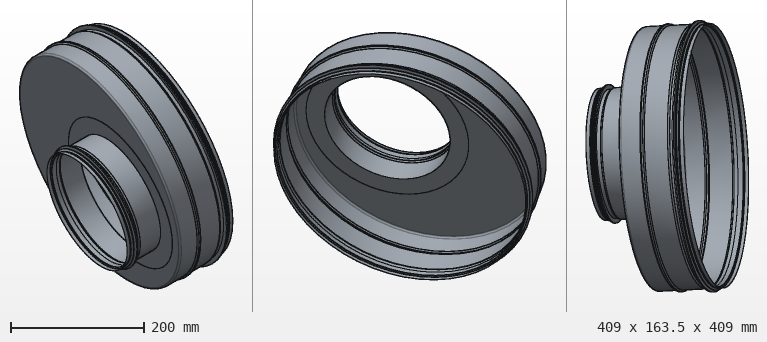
import cadquery as cq


SHEET = 0.5
DRUM_RADIUS = 399.0 / 2
SPIGOT_RADIUS = 199.0 / 2
DRUM_LENGTH = 100.5
SPIGOT_LENGTH = 63.0
SPIGOT_OFFSET_X = 52.5
FLANGE_RADIUS = 257.0 / 2
CORNER_RADIUS = 3.3

BEAD_HEIGHT = 2.5
BEAD_CENTRE = 36.5
BEAD_FOOT_WIDTH = 7.0
BEAD_CREST_WIDTH = 3.0

GROOVE_START = 6.0
GROOVE_FLOOR_START = 7.0
GROOVE_FLOOR_END = 22.0
GROOVE_END = 25.0
GROOVE_DEPTH = 2.5

DRUM_SEAL_DIAMETER = 409.0
BAND_THICKNESS = 1.85
SKIRT_THICKNESS = 0.6
SHORT_LIP_HEIGHT = 5.0
SHORT_LIP_ROOT = 8.0
SHORT_LIP_TIP = 10.2
SHORT_LIP_END = 11.5
LONG_LIP_HEIGHT = DRUM_SEAL_DIAMETER / 2 - DRUM_RADIUS + GROOVE_DEPTH
LONG_LIP_ROOT = 13.5
LONG_LIP_TIP = 14.5
LONG_LIP_END = 16.5


def revolve_about_y(profile):
    """Turn a closed (radius, Y) profile into a ring about the Y axis."""
    return profile.close().revolve(360, (0, 0, 0), (0, 1, 0))


def groove_outline(radius, end, inward):
    """Outer (radius, Y) points from the inner edge of a seal groove to the rounded rim."""
    return [
        (radius, end + inward * GROOVE_END),
        (radius - GROOVE_DEPTH, end + inward * GROOVE_FLOOR_END),
        (radius - GROOVE_DEPTH, end + inward * GROOVE_FLOOR_START),
        (radius, end + inward * GROOVE_START),
        (radius, end + inward * SHEET / 2),
    ]


def trace_sheet(profile, outline, end):
    """Run out along the outer points, round the rim, and back one sheet thickness further in."""
    for point in outline:
        profile = profile.lineTo(*point)
    inner = [(radius - SHEET, y) for radius, y in reversed(outline)]
    rim_radius = outline[-1][0]
    profile = profile.threePointArc((rim_radius - SHEET / 2, end), inner[0])
    for point in inner[1:]:
        profile = profile.lineTo(*point)
    return profile


def bead_outline():
    foot = BEAD_FOOT_WIDTH / 2
    crest = BEAD_CREST_WIDTH / 2
    crest_radius = DRUM_RADIUS + BEAD_HEIGHT
    return [
        (DRUM_RADIUS, BEAD_CENTRE - foot),
        (crest_radius, BEAD_CENTRE - crest),
        (crest_radius, BEAD_CENTRE + crest),
        (DRUM_RADIUS, BEAD_CENTRE + foot),
    ]


def make_drum():
    """Wide shell with its end plate, bored to take the spigot flange."""
    outline = bead_outline() + groove_outline(DRUM_RADIUS, DRUM_LENGTH, -1)
    corner_start = DRUM_RADIUS - CORNER_RADIUS
    profile = (
        cq.Workplane("XY")
        .moveTo(0, 0)
        .lineTo(corner_start, 0)
        .radiusArc((DRUM_RADIUS, CORNER_RADIUS), -CORNER_RADIUS)
    )
    profile = (
        trace_sheet(profile, outline, DRUM_LENGTH)
        .lineTo(DRUM_RADIUS - SHEET, CORNER_RADIUS)
        .radiusArc((corner_start, SHEET), CORNER_RADIUS - SHEET)
        .lineTo(0, SHEET)
    )
    flange_seat = (
        cq.Workplane("XZ", origin=(SPIGOT_OFFSET_X, 0, 0)).circle(FLANGE_RADIUS).extrude(-SHEET)
    )
    return revolve_about_y(profile).cut(flange_seat)


def make_spigot():
    """Narrow tube with a flat flange that lies flush in the end plate."""
    outline = groove_outline(SPIGOT_RADIUS, -SPIGOT_LENGTH, 1)
    profile = (
        cq.Workplane("XY")
        .moveTo(FLANGE_RADIUS, SHEET)
        .lineTo(FLANGE_RADIUS, 0)
        .lineTo(SPIGOT_RADIUS, 0)
    )
    profile = trace_sheet(profile, outline, -SPIGOT_LENGTH).lineTo(SPIGOT_RADIUS - SHEET, SHEET)
    return revolve_about_y(profile).translate((SPIGOT_OFFSET_X, 0, 0))


def make_seal(duct_radius, end, inward):
    """Rubber ring on a groove floor, with both lips leaning away from the open end."""
    floor = duct_radius - GROOVE_DEPTH
    band = floor + BAND_THICKNESS
    skirt = floor + SKIRT_THICKNESS
    short_lip = floor + SHORT_LIP_HEIGHT
    long_lip = floor + LONG_LIP_HEIGHT
    section = [
        (floor, SHORT_LIP_ROOT),
        (band, SHORT_LIP_ROOT),
        (short_lip, SHORT_LIP_TIP),
        (short_lip, SHORT_LIP_END),
        (band, SHORT_LIP_END),
        (band, LONG_LIP_ROOT),
        (long_lip, LONG_LIP_TIP),
        (long_lip, LONG_LIP_END),
        (skirt, LONG_LIP_END),
        (skirt, GROOVE_FLOOR_END),
        (floor, GROOVE_FLOOR_END),
    ]
    points = [(radius, end + inward * distance) for radius, distance in section]
    return revolve_about_y(cq.Workplane("XY").polyline(points))


drum = make_drum()
spigot = make_spigot()
drum_seal = make_seal(DRUM_RADIUS, DRUM_LENGTH, -1)
spigot_seal = make_seal(SPIGOT_RADIUS, -SPIGOT_LENGTH, 1).translate((SPIGOT_OFFSET_X, 0, 0))

result = cq.Compound.makeCompound([drum.val(), spigot.val(), drum_seal.val(), spigot_seal.val()])